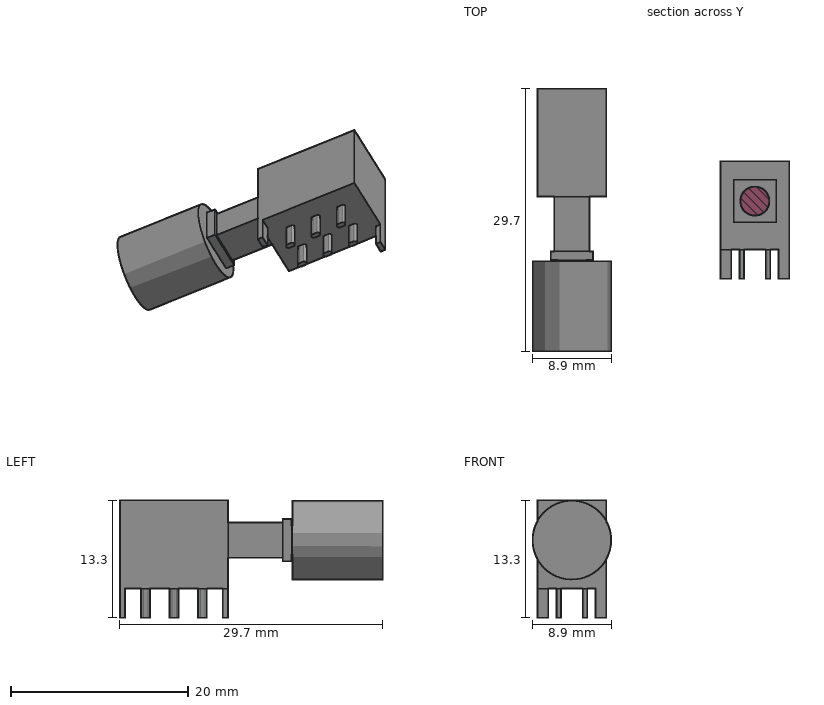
import cadquery as cq

housing_width = 7.8
housing_length = 12.2
housing_height = 10.0
axis_below_top = 4.5
housing_top = axis_below_top
housing_bottom = housing_top - housing_height

pin_length = 3.3
leg_width = 1.25
leg_thickness = 0.6
contact_width = 0.53
contact_depth = 1.05
contact_row_spacing = 2.97
contact_pitch = 3.2
contact_rows = 2
contacts_per_row = 3

plunger_side = 4.0
plunger_length = 6.18
collar_side = 4.8
collar_thickness = 1.0

overall_length = 29.7
knob_diameter = 8.9
boss_diameter = 3.3
boss_length = 0.1

knob_front = 0.0
housing_back = knob_front + overall_length
housing_front = housing_back - housing_length
collar_back = housing_front - plunger_length
collar_front = collar_back - collar_thickness
knob_back = collar_front - boss_length


def block(width, length, height, front, center_x, top):
    """Rectangular block placed by its front face, X center and top face."""
    return (
        cq.Workplane("XY")
        .box(width, length, height, centered=(True, False, False))
        .translate((center_x, front, top - height))
    )


def cylinder_along_y(diameter, front, back):
    """Cylinder on the common axis between two Y positions."""
    return (
        cq.Workplane("XZ", origin=(0, front, 0))
        .circle(diameter / 2)
        .extrude(front - back)
    )


def make_legs():
    """Two flat legs at diagonally opposite corners of the housing."""
    leg_x = (housing_width - leg_width) / 2
    front_leg = block(leg_width, leg_thickness, pin_length, housing_front, leg_x, housing_bottom)
    back_leg = block(
        leg_width, leg_thickness, pin_length, housing_back - leg_thickness, -leg_x, housing_bottom
    )
    return front_leg.add(back_leg)


def make_contacts():
    """Two rows of contact pins with rounded front and back edges."""
    contacts_center_y = housing_front + housing_length / 2
    return (
        cq.Workplane("XY", origin=(0, contacts_center_y, housing_bottom))
        .rarray(contact_row_spacing, contact_pitch, contact_rows, contacts_per_row)
        .slot2D(contact_depth, contact_width, 90)
        .extrude(-pin_length)
    )


def make_switch():
    """Housing, plunger, collar, legs and contacts as one body."""
    housing = block(housing_width, housing_length, housing_height, housing_front, 0, housing_top)
    plunger = block(plunger_side, plunger_length, plunger_side, collar_back, 0, plunger_side / 2)
    collar = block(collar_side, collar_thickness, collar_side, collar_front, 0, collar_side / 2)
    body = housing.union(plunger).union(collar)
    for pin in make_legs().vals() + make_contacts().vals():
        body = body.union(cq.Workplane(pin))
    return body


def make_knob():
    """Round push knob with its seating boss."""
    knob = cylinder_along_y(knob_diameter, knob_front, knob_back)
    boss = cylinder_along_y(boss_diameter, knob_back, collar_front)
    return knob.union(boss)


switch = make_switch()
knob = make_knob()

result = cq.Compound.makeCompound([switch.solids().val(), knob.solids().val()])